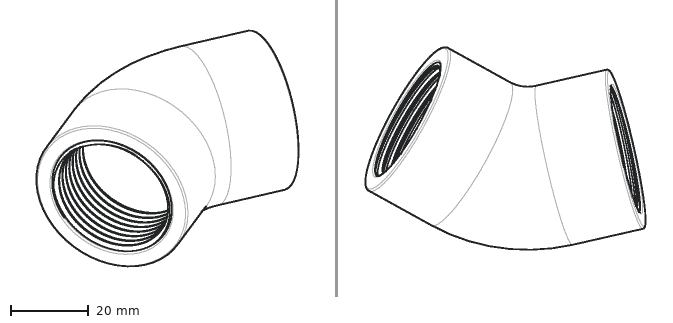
import cadquery as cq
import math

overall_width = 57.5
overall_length = 67.4
outer_diameter = 42.0
bore_diameter = 33.2
bend_bore_diameter = 32.1
socket_length = 19.1
bend_radius = 28.5
bend_angle = 45
rim_rounding = 0.5

crest_count = 9
crest_span = 18.45
crest_diameter = 30.7
crest_width = 0.4
flank_angle = 27.5
first_crest_depth = 1.0

outer_radius = outer_diameter / 2
bore_radius = bore_diameter / 2
bend_bore_radius = bend_bore_diameter / 2
crest_radius = crest_diameter / 2
thread_pitch = crest_span / (crest_count - 1)
root_width = crest_width + 2 * (bore_radius - crest_radius) * math.tan(math.radians(flank_angle))

helix_start_depth = first_crest_depth - thread_pitch
helix_turns = math.ceil((socket_length + root_width - helix_start_depth) / thread_pitch)
helix_length = helix_turns * thread_pitch

straight_x = -overall_width / 2 + outer_radius
straight_mouth_y = -overall_length / 2
bend_start_y = straight_mouth_y + socket_length
bend_sine = math.sin(math.radians(bend_angle))
bend_cosine = math.cos(math.radians(bend_angle))
angled_mouth_x = straight_x + bend_radius * (1 - bend_cosine) + socket_length * bend_sine
angled_mouth_y = bend_start_y + bend_radius * bend_sine + socket_length * bend_cosine

straight_mouth = cq.Plane(
    origin=(straight_x, straight_mouth_y, 0),
    xDir=(1, 0, 0),
    normal=(0, 1, 0),
)
angled_mouth = cq.Plane(
    origin=(angled_mouth_x, angled_mouth_y, 0),
    xDir=(-bend_cosine, bend_sine, 0),
    normal=(-bend_sine, -bend_cosine, 0),
)
mouths = [straight_mouth, angled_mouth]


def make_socket():
    """Straight tube along +Z from its mouth at Z = 0, with both edges of the mouth rounded."""
    tube = cq.Workplane("XY").circle(outer_radius).circle(bore_radius).extrude(socket_length)
    return tube.faces("<Z").edges().fillet(rim_rounding)


def make_bend():
    """Curved tube between the sockets, with a slightly narrower bore than theirs."""
    ring = (
        cq.Workplane("XZ", origin=(straight_x, bend_start_y, 0))
        .circle(outer_radius)
        .circle(bend_bore_radius)
    )
    return ring.revolve(bend_angle, (bend_radius, 0.7, 0), (bend_radius, -0.7, 0))


def make_elbow():
    """Bend with a socket on each end, as one body."""
    body = make_bend()
    socket = make_socket().val()
    for mouth in mouths:
        body = body.union(cq.Workplane(socket.moved(cq.Location(mouth))), clean=False)
    return body.solids()


def make_thread():
    """Right-handed ridge along +Z from a mouth at Z = 0, trimmed flat at both ends of the plain bore."""
    helix = cq.Wire.makeHelix(thread_pitch, helix_length, bore_radius)
    section = (
        cq.Workplane("XZ")
        .moveTo(bore_radius, -root_width / 2)
        .lineTo(crest_radius, -crest_width / 2)
        .lineTo(crest_radius, crest_width / 2)
        .lineTo(bore_radius, root_width / 2)
        .close()
    )
    ridge = section.sweep(cq.Workplane(helix), isFrenet=True).translate((0, 0, helix_start_depth))
    threaded_stretch = (
        cq.Workplane("XY", origin=(0, 0, rim_rounding))
        .circle(outer_radius)
        .extrude(socket_length - rim_rounding)
    )
    return ridge.intersect(threaded_stretch).solids()


elbow = make_elbow()
thread = make_thread()
threads = []
for mouth in mouths:
    threads.append(thread.val().moved(cq.Location(mouth)))

result = cq.Compound.makeCompound([elbow.val(), *threads])